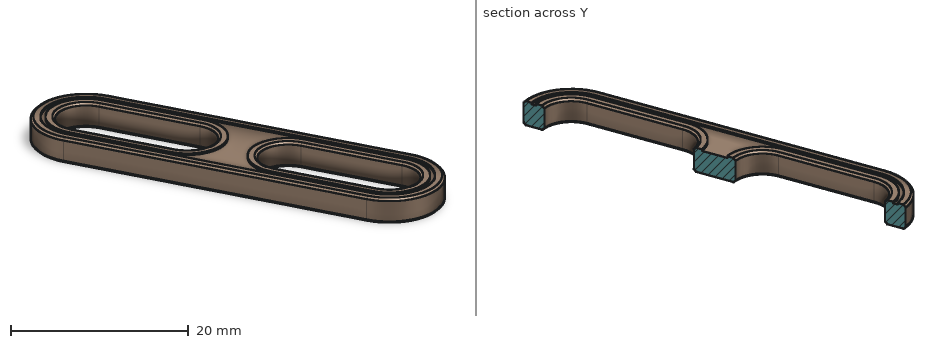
import cadquery as cq

pitch = 12.5
length = 4 * pitch
width = pitch
thickness = pitch / 4
opening_width = 7.0
edge_chamfer = 0.3
rim_width = 0.8
recess_depth = 0.2

opening_spacing = length / 2
end_center_x = (length - width) / 2
opening_arc_spacing = 2 * (end_center_x - opening_spacing / 2)
opening_centers = [(-opening_spacing / 2, 0), (opening_spacing / 2, 0)]


def outer_slot(base_z, height, inset=0.0):
    """Solid with the outer outline, moved inward by inset."""
    plane = cq.Workplane("XY").workplane(offset=base_z)
    return plane.slot2D(length - 2 * inset, width - 2 * inset).extrude(height)


def opening_slots(base_z, height, outset=0.0):
    """Two solids with the opening outline, moved outward by outset."""
    slot_width = opening_width + 2 * outset
    plane = cq.Workplane("XY").workplane(offset=base_z)
    centers = plane.pushPoints(opening_centers)
    return centers.slot2D(opening_arc_spacing + slot_width, slot_width).extrude(height)


def chamfered_link():
    """Round-ended bar with two long openings and every top and bottom edge chamfered."""
    bar = outer_slot(0, thickness).cut(opening_slots(0, thickness))
    return bar.faces("|Z").edges().chamfer(edge_chamfer)


def top_recess():
    """Shallow recess that leaves a rim along the outer edge and around each opening."""
    inset = edge_chamfer + rim_width
    floor_z = thickness - recess_depth
    return outer_slot(floor_z, recess_depth, inset).cut(opening_slots(floor_z, recess_depth, inset))


result = chamfered_link().cut(top_recess())